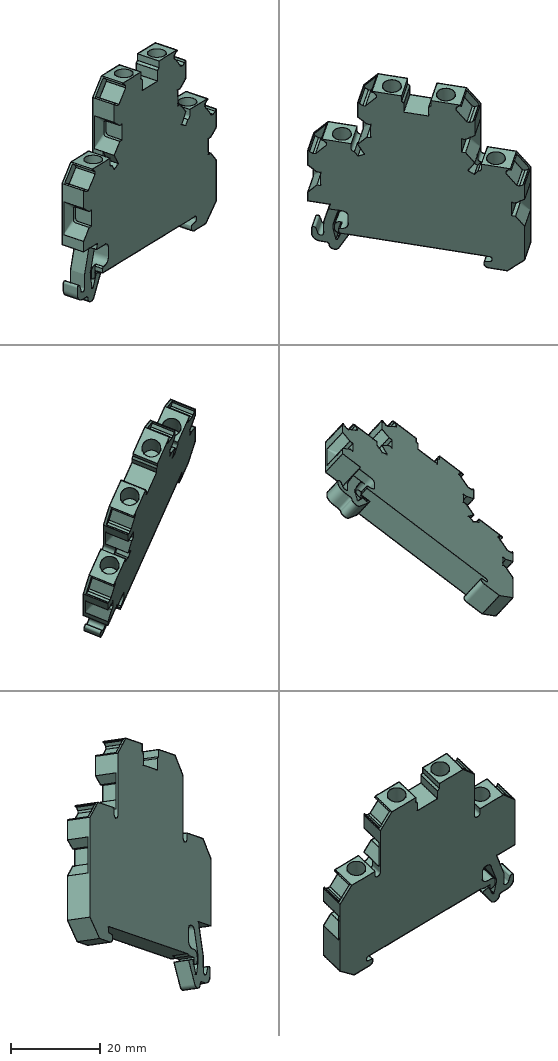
import cadquery as cq
import math


thickness = 6.0
half_width = 25.0
height = 51.85

tier_step = 16.95
lower_top = height - tier_step
upper_half_width = 13.5
chamfer_width = 3.3
chamfer_height = 4.1
tiers = [(half_width, lower_top), (upper_half_width, height)]

overhang_floor = 15.4
rail_level = 7.15
foot_bottom = 3.7
foot_corner_y = 21.0
foot_corner_z = 7.85

notch_half_width = 2.85
notch_mouth_half_width = 3.35
notch_depth = 4.8
notch_mouth_depth = 1.65
notch_taper_depth = 2.2

slot_width = 1.5
slot_depth = 2.25

undercut_start_x = 2.9
undercut_angle = math.radians(60)
undercut_length = 3.1
undercut_thickness = 1.7

screw_hole_diameter = 4.2
screw_hole_depth = 7.8
screw_hole_x = 3.3
screw_hole_inset = 7.25

label_start_x = 0.6
label_lip = 0.35
label_undercut_offset = 0.05
label_shoulder_offset = 0.2
label_undercut_depth = 0.5
label_shoulder_depth = 1.4
label_floor_offset = 0.6
label_depth = 1.8

entry_mouth_top = 8.55
entry_mouth_height = 8.3
entry_mouth_x = 0.5
entry_mouth_corner = 0.05
entry_floor_top_inset = 1.65
entry_floor_bottom_inset = 2.65
entry_floor_x = 1.55
entry_floor_corner = 0.65
entry_taper_depth = 2.1
entry_depth = 3.0

latch_thickness = 3.95
leg_lean = math.radians(15)
leg_outer_y = -21.85
leg_bend_z = 7.8
window_radius = 1.25
window_y = -16.9
window_z = 12.75
window_top = window_z + window_radius
window_side_y = window_y + window_radius
window_floor_radius = 1.7
hook_top = 8.65
hook_radius = 1.35
hook_inner_y = -17.9
stub_chamfer = 0.35


def extrude_profile(sketch, start_x=0.0, end_x=thickness):
    """Extrude a closed YZ profile between two X positions."""
    return sketch.extrude(end_x - start_x).translate((start_x, 0, 0))


def on_both_sides(shape):
    """Add the mirror image of a shape across the middle plane Y = 0."""
    return shape.union(shape.mirror("XZ"))


def leg_outer_at(z):
    """Y position of the leaning outer face of the latch leg."""
    return leg_outer_y + (z - leg_bend_z) * math.tan(leg_lean)


def make_body():
    upper_chamfer_y = upper_half_width - chamfer_width
    lower_chamfer_y = half_width - chamfer_width
    foot_lip_y = 15.6
    foot_lip_radius = 1.05
    foot_lip_top = 5.55
    groove_wall_y = 17.4
    groove_radius = 0.45
    groove_floor = 5.7
    outline = (
        cq.Workplane("YZ")
        .moveTo(-upper_chamfer_y, height)
        .lineTo(upper_chamfer_y, height)
        .lineTo(upper_half_width, height - chamfer_height)
        .lineTo(upper_half_width, lower_top)
        .lineTo(lower_chamfer_y, lower_top)
        .lineTo(half_width, lower_top - chamfer_height)
        .lineTo(half_width, foot_corner_z)
        .lineTo(foot_corner_y, foot_bottom)
        .lineTo(foot_lip_y + foot_lip_radius, foot_bottom)
        .tangentArcPoint((foot_lip_y, foot_bottom + foot_lip_radius), relative=False)
        .lineTo(foot_lip_y, foot_lip_top - groove_radius)
        .tangentArcPoint((foot_lip_y + groove_radius, foot_lip_top), relative=False)
        .lineTo(groove_wall_y - groove_radius, groove_floor)
        .tangentArcPoint((groove_wall_y, groove_floor + groove_radius), relative=False)
        .lineTo(groove_wall_y, rail_level - groove_radius)
        .tangentArcPoint((groove_wall_y - groove_radius, rail_level), relative=False)
        .lineTo(hook_inner_y, rail_level)
        .lineTo(hook_inner_y, hook_top - stub_chamfer)
        .lineTo(hook_inner_y + stub_chamfer, hook_top)
        .lineTo(window_side_y - window_floor_radius, hook_top)
        .tangentArcPoint((window_side_y, hook_top + window_floor_radius), relative=False)
        .lineTo(window_side_y, window_z)
        .tangentArcPoint((window_y, window_top), relative=False)
        .lineTo(leg_outer_at(window_top), window_top)
        .lineTo(leg_outer_at(overhang_floor), overhang_floor)
        .lineTo(-half_width, overhang_floor)
        .lineTo(-half_width, lower_top - chamfer_height)
        .lineTo(-lower_chamfer_y, lower_top)
        .lineTo(-upper_half_width, lower_top)
        .lineTo(-upper_half_width, height - chamfer_height)
        .close()
    )
    return extrude_profile(outline)


def make_latch():
    """Leaning leg that ends in a folded-back tongue and an upturned release finger."""
    leg_inner_bend_z = 7.7
    gap_y = -19.65
    gap_top = 7.4
    gap_bottom = 6.45
    fold_bottom = 3.05
    fold_leg_y = -19.0
    fold_tongue_y = -18.65
    tongue_inner_tip = (-17.4, 6.25)
    tongue_outer_tip = (-15.7, 5.75)
    window_tangent_y = window_y - window_radius * math.cos(leg_lean)
    window_tangent_z = window_z + window_radius * math.sin(leg_lean)
    leg_inner_y = window_tangent_y - (window_tangent_z - leg_inner_bend_z) * math.tan(leg_lean)
    window_mid = math.radians(90) + (math.radians(90) - leg_lean) / 2
    toe_radius = 1.2
    toe_y = -19.35
    tongue_slope = math.radians(28)
    tongue_end_y = toe_y + toe_radius * math.cos(tongue_slope)
    tongue_end_z = toe_radius * (1 - math.sin(tongue_slope))
    finger_floor = 3.7
    finger_bottom = 1.8
    finger_y = -24.6
    finger_groove_radius = 0.65
    finger_inner_y = leg_outer_y - 2 * finger_groove_radius
    finger_radius = 2.0
    finger_root_radius = finger_bottom - toe_radius
    finger_tip_radius = 0.5
    finger_tip_z = 5.4
    outline = (
        cq.Workplane("YZ")
        .moveTo(window_y, window_top)
        .threePointArc(
            (
                window_y + window_radius * math.cos(window_mid),
                window_z + window_radius * math.sin(window_mid),
            ),
            (window_tangent_y, window_tangent_z),
        )
        .lineTo(leg_inner_y, leg_inner_bend_z)
        .lineTo(gap_y, gap_top)
        .lineTo(gap_y, gap_bottom)
        .lineTo(fold_leg_y, fold_bottom)
        .lineTo(fold_tongue_y, fold_bottom)
        .lineTo(*tongue_inner_tip)
        .lineTo(*tongue_outer_tip)
        .lineTo(tongue_end_y, tongue_end_z)
        .threePointArc((toe_y, 0), (toe_y - toe_radius, toe_radius))
        .tangentArcPoint((toe_y - toe_radius - finger_root_radius, finger_bottom), relative=False)
        .lineTo(finger_y + finger_radius, finger_bottom)
        .tangentArcPoint((finger_y, finger_bottom + finger_radius), relative=False)
        .lineTo(finger_y, finger_tip_z)
        .tangentArcPoint((finger_y + 2 * finger_tip_radius, finger_tip_z), relative=False)
        .lineTo(finger_inner_y, finger_floor + finger_groove_radius)
        .threePointArc(
            (leg_outer_y - finger_groove_radius, finger_floor),
            (leg_outer_y, finger_floor + finger_groove_radius),
        )
        .lineTo(leg_outer_y, leg_bend_z)
        .lineTo(leg_outer_at(window_top), window_top)
        .close()
    )
    return extrude_profile(outline, end_x=latch_thickness)


def make_hook():
    """Rail hook that faces the latch tongue."""
    hook_outer_y = -19.3
    hook_tip = 5.3
    hook_tip_radius = 0.95
    hook_floor = 6.8
    hook_floor_start_y = -16.1
    hook_root_y = -15.25
    outline = (
        cq.Workplane("YZ")
        .moveTo(hook_root_y, rail_level)
        .lineTo(window_side_y - window_floor_radius, hook_top)
        .lineTo(hook_outer_y + hook_radius, hook_top)
        .tangentArcPoint((hook_outer_y, hook_top - hook_radius), relative=False)
        .lineTo(hook_outer_y, hook_tip + hook_tip_radius)
        .tangentArcPoint((hook_outer_y + hook_tip_radius, hook_tip), relative=False)
        .lineTo(hook_inner_y, hook_tip)
        .lineTo(hook_inner_y, hook_floor)
        .lineTo(hook_floor_start_y, hook_floor)
        .close()
    )
    return extrude_profile(outline, end_x=latch_thickness)


def make_notch():
    outline = cq.Workplane("YZ").polyline(
        [
            (-notch_mouth_half_width, height),
            (-notch_mouth_half_width, height - notch_mouth_depth),
            (-notch_half_width, height - notch_taper_depth),
            (-notch_half_width, height - notch_depth),
            (notch_half_width, height - notch_depth),
            (notch_half_width, height - notch_taper_depth),
            (notch_mouth_half_width, height - notch_mouth_depth),
            (notch_mouth_half_width, height),
        ]
    ).close()
    return extrude_profile(outline)


def make_slot():
    near_y = -upper_half_width
    far_y = near_y - slot_width
    round_z = lower_top - slot_depth + slot_width / 2
    outline = (
        cq.Workplane("YZ")
        .moveTo(near_y, lower_top)
        .lineTo(near_y, round_z)
        .tangentArcPoint((far_y, round_z), relative=False)
        .lineTo(far_y, lower_top)
        .close()
    )
    return extrude_profile(outline)


def make_undercut():
    """Parallel-sided channel going down and inward from the foot of the upper wire entry."""
    run_y = undercut_length * math.cos(undercut_angle)
    drop_z = undercut_length * math.sin(undercut_angle)
    across_y = undercut_thickness * math.sin(undercut_angle)
    across_z = undercut_thickness * math.cos(undercut_angle)
    top_y = -upper_half_width
    top_z = height - entry_mouth_top - entry_mouth_height
    outline = cq.Workplane("YZ").polyline(
        [
            (top_y, top_z),
            (top_y + run_y, top_z - drop_z),
            (top_y + run_y - across_y, top_z - drop_z - across_z),
            (top_y - slot_width / 2, lower_top - slot_depth),
            (top_y - slot_width / 2, top_z),
        ]
    ).close()
    return extrude_profile(outline, start_x=undercut_start_x)


def make_label_groove(tier_half_width, tier_top):
    """Groove in the chamfer of one tier: wider behind its lips, narrower again at its floor."""
    length = math.hypot(chamfer_width, chamfer_height)
    half_profile = [
        (label_lip, 0),
        (label_undercut_offset, label_undercut_depth),
        (label_shoulder_offset, label_shoulder_depth),
        (label_floor_offset, label_depth),
    ]
    profile = half_profile + [(length - along, depth) for along, depth in reversed(half_profile)]
    slope_y = chamfer_width / length
    slope_z = chamfer_height / length
    start_y = -(tier_half_width - chamfer_width)
    points = [
        (start_y - along * slope_y + depth * slope_z, tier_top - along * slope_z - depth * slope_y)
        for along, depth in profile
    ]
    return extrude_profile(cq.Workplane("YZ").polyline(points).close(), start_x=label_start_x)


def entry_section(workplane, left_x, bottom_z, top_z, corner):
    """Rectangle open towards +X, with its two -X corners rounded."""
    return (
        workplane.moveTo(thickness, top_z)
        .lineTo(left_x + corner, top_z)
        .tangentArcPoint((left_x, top_z - corner), relative=False)
        .lineTo(left_x, bottom_z + corner)
        .tangentArcPoint((left_x + corner, bottom_z), relative=False)
        .lineTo(thickness, bottom_z)
        .close()
    )


def make_wire_entry(tier_half_width, tier_top):
    mouth_top = tier_top - entry_mouth_top
    mouth_bottom = mouth_top - entry_mouth_height
    floor_top = mouth_top - entry_floor_top_inset
    floor_bottom = mouth_bottom + entry_floor_bottom_inset
    floor_section = (entry_floor_x, floor_bottom, floor_top, entry_floor_corner)
    mouth_plane = cq.Workplane("XZ", origin=(0, -tier_half_width, 0))
    mouth = entry_section(mouth_plane, entry_mouth_x, mouth_bottom, mouth_top, entry_mouth_corner)
    funnel = entry_section(mouth.workplane(offset=-entry_taper_depth), *floor_section).loft(ruled=True)
    pocket = entry_section(mouth_plane, *floor_section).extrude(-entry_depth)
    return funnel.union(pocket)


def make_screw_hole(tier_half_width, tier_top):
    return (
        cq.Workplane("XY", origin=(screw_hole_x, screw_hole_inset - tier_half_width, tier_top))
        .circle(screw_hole_diameter / 2)
        .extrude(-screw_hole_depth)
    )


result = make_body().union(make_latch()).union(make_hook()).cut(make_notch())
result = result.cut(on_both_sides(make_slot())).cut(on_both_sides(make_undercut()))
for tier_half_width, tier_top in tiers:
    for make_feature in (make_label_groove, make_wire_entry, make_screw_hole):
        result = result.cut(on_both_sides(make_feature(tier_half_width, tier_top)))